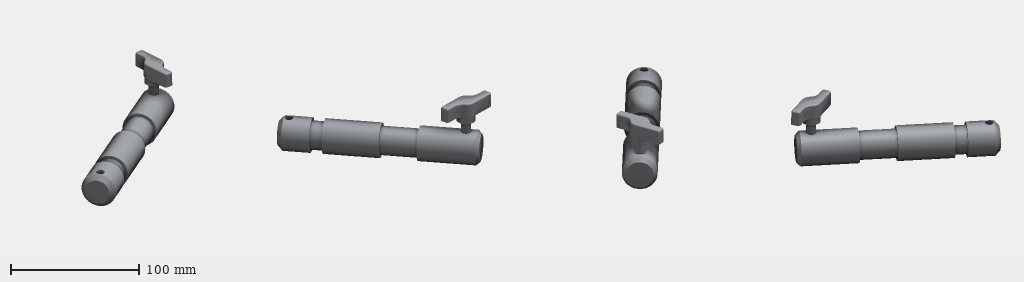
import cadquery as cq
import math

bar_diameter = 28.0
groove_diameter = 23.0
bar_length = 160.0
knob_to_back = 12.0
back_land_length = 49.0
long_groove_length = 30.0
middle_land_length = 45.0
short_groove_length = 10.0
front_chamfer = 4.0
back_chamfer = 3.0
cross_hole_diameter = 7.0
cross_hole_from_front = 8.0

bar_radius = bar_diameter / 2
y_back = knob_to_back
y_front = y_back - bar_length
y_long_groove = y_back - back_land_length
y_middle_land = y_long_groove - long_groove_length
y_short_groove = y_middle_land - middle_land_length

stem_diameter = 8.0
stem_depth = 8.0
collar_top_diameter = 15.0
collar_draft = 1.0
collar_height = 6.0
head_height = 12.0
knob_top = 41.55
hub_radius = 8.0
arm_length = 22.5
arm_corner_radius = 2.0
arm_angle = -30.0
head_draft = 1.0
head_top_fillet = 1.5

head_bottom = knob_top - head_height
head_middle = head_bottom + head_height / 2
collar_bottom = head_bottom - collar_height
stem_bottom = bar_radius - stem_depth


def groove(y_start, length):
    """Ring to cut from the bar, running from y_start toward the front."""
    return (
        cq.Workplane("XZ", origin=(0, y_start, 0))
        .circle(bar_diameter)
        .circle(groove_diameter / 2)
        .extrude(length)
    )


def make_bar():
    bar = cq.Workplane("XZ", origin=(0, y_back, 0)).circle(bar_radius).extrude(bar_length)
    bar = bar.faces("<Y").chamfer(front_chamfer)
    bar = bar.faces(">Y").chamfer(back_chamfer)
    bar = bar.cut(groove(y_long_groove, long_groove_length))
    bar = bar.cut(groove(y_short_groove, short_groove_length))

    cross_hole = (
        cq.Workplane("XY", origin=(0, y_front + cross_hole_from_front, -bar_radius))
        .circle(cross_hole_diameter / 2)
        .extrude(bar_diameter)
    )
    stem_hole = (
        cq.Workplane("XY", origin=(0, 0, stem_bottom))
        .circle(stem_diameter / 2)
        .extrude(bar_diameter)
    )
    return bar.cut(cross_hole).cut(stem_hole)


def polar(radius, degrees):
    """Point at a radius and a direction from the knob axis."""
    angle = math.radians(degrees)
    return (radius * math.cos(angle), radius * math.sin(angle))


def opposite(point):
    """The same point after half a turn about the knob axis."""
    return (-point[0], -point[1])


def make_head():
    """Two-armed head, drawn with its arms along X and then turned to arm_angle.

    Each arm has one side through the knob axis line and the other tangent to the hub;
    an inside arc of the hub radius leads from the hub into the arm.
    """
    neck_angle = -arm_angle
    neck_start = polar(hub_radius, neck_angle)
    neck_center = polar(2 * hub_radius, neck_angle)
    neck_end = (neck_center[0], neck_center[1] - hub_radius)
    neck_start_direction = 180 + neck_angle
    neck_end_direction = 270
    neck_middle_angle = (neck_start_direction + neck_end_direction) / 2
    neck_offset = polar(hub_radius, neck_middle_angle)
    neck_middle = (neck_center[0] + neck_offset[0], neck_center[1] + neck_offset[1])
    hub_middle = polar(hub_radius, (90 + neck_angle) / 2)

    outline = (
        cq.Workplane("XY", origin=(0, 0, head_bottom))
        .moveTo(0, hub_radius)
        .threePointArc(hub_middle, neck_start)
        .threePointArc(neck_middle, neck_end)
        .lineTo(arm_length, 0)
        .lineTo(arm_length, -hub_radius)
        .lineTo(0, -hub_radius)
        .threePointArc(opposite(hub_middle), opposite(neck_start))
        .threePointArc(opposite(neck_middle), opposite(neck_end))
        .lineTo(-arm_length, 0)
        .lineTo(-arm_length, hub_radius)
        .close()
    )
    head = outline.extrude(head_height, taper=head_draft)
    tip_edges = head.faces(cq.selectors.SumSelector(
        cq.selectors.NearestToPointSelector((arm_length, -hub_radius / 2, head_middle)),
        cq.selectors.NearestToPointSelector((-arm_length, hub_radius / 2, head_middle)),
    )).edges("not #Z")
    head = tip_edges.fillet(arm_corner_radius)
    head = head.faces(">Z").edges().fillet(head_top_fillet)
    return head.rotate((0, 0, 0), (0, 0, 1), arm_angle)


def make_knob():
    collar = (
        cq.Workplane("XY", origin=(0, 0, head_bottom))
        .circle(collar_top_diameter / 2)
        .extrude(-collar_height, taper=collar_draft)
    )
    stem = (
        cq.Workplane("XY", origin=(0, 0, stem_bottom))
        .circle(stem_diameter / 2)
        .extrude(collar_bottom - stem_bottom)
    )
    return make_head().union(collar).union(stem)


bar = make_bar()
knob = make_knob()

result = cq.Compound.makeCompound([bar.val(), knob.val()])